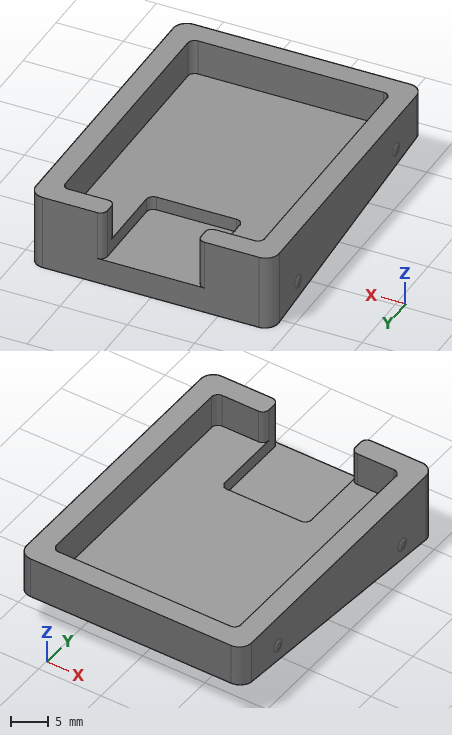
import cadquery as cq

length = 45.7
overall_width = 36.55
bump_height = 0.2
body_width = overall_width - 2 * bump_height
front_height = 6.6
back_height = 11.35
corner_radius = 2.0

wall = 3.3
pocket_depth = 5.35
inner_radius = 1.0

notch_width = 13.9
notch_length = 13.8
notch_depth = 7.4

bump_diameter = 2.0
bump_tip_diameter = 0.8
bump_places = [(15.15, -8.0), (-14.6, -4.85)]

back_y = length / 2
front_y = -length / 2


def wedge_body():
    """Block with a level top, a sloping underside and rounded upright corners."""
    side_profile = [(front_y, 0), (back_y, 0), (back_y, -back_height), (front_y, -front_height)]
    wedge = cq.Workplane("YZ").polyline(side_profile).close().extrude(body_width / 2, both=True)
    return wedge.edges("|Z").fillet(corner_radius)


def pocket():
    """Level-floored recess inside the rim."""
    recess = cq.Workplane("XY").rect(body_width - 2 * wall, length - 2 * wall).extrude(-pocket_depth)
    return recess.edges("|Z").fillet(inner_radius)


def notch():
    """Deeper recess that opens through the middle of the back wall."""
    recess = (
        cq.Workplane("XY")
        .center(0, back_y - notch_length / 2)
        .rect(notch_width, notch_length)
        .extrude(-notch_depth)
    )
    return recess.edges("|Z and <Y").fillet(inner_radius)


def round_rim_ends(tray):
    """Round the four upright edges where the notch cuts the back wall."""
    margin = 0.05
    rim_ends = cq.selectors.BoxSelector(
        (-notch_width / 2 - margin, back_y - wall - margin, -back_height),
        (notch_width / 2 + margin, back_y + margin, 0),
    )
    return tray.edges("|Z").edges(rim_ends).fillet(inner_radius)


def bump(side, y, z):
    """Flat-tipped cone on a side wall; side is -1 for -X and +1 for +X."""
    wall_plane = cq.Plane(origin=(side * body_width / 2, y, z), xDir=(0, 1, 0), normal=(side, 0, 0))
    return (
        cq.Workplane(wall_plane)
        .circle(bump_diameter / 2)
        .workplane(offset=bump_height)
        .circle(bump_tip_diameter / 2)
        .loft()
    )


result = round_rim_ends(wedge_body().cut(pocket()).cut(notch()))
for bump_side in (-1, 1):
    for bump_y, bump_z in bump_places:
        result = result.union(bump(bump_side, bump_y, bump_z))